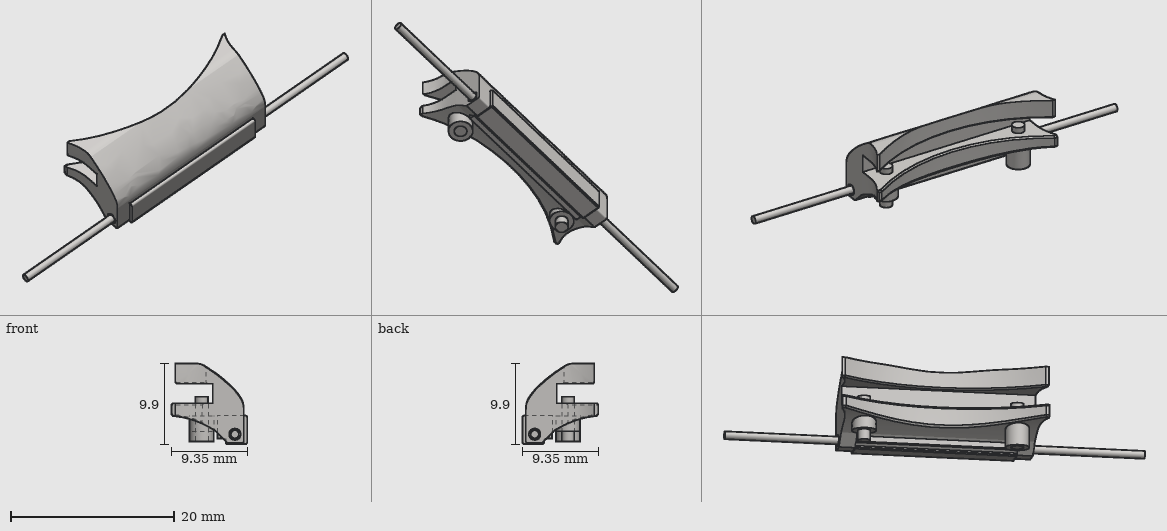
import cadquery as cq
import math

WIRE_LENGTH = 52.4
WIRE_DIAMETER = 1.0
WIRE_X = 7.8
WIRE_Z = 1.2
WIRE_MOUTH_DIAMETER = 1.4

HOUSING_LENGTH = 24.2
HOUSING_BOTTOM_Z = 0.15
HOUSING_TOP_Z = 9.9
BACK_X = 8.9
WEB_FRONT_X = 5.1
SLOT_TOP_Z = 7.4
SLOT_BOTTOM_Z = 5.05
TOP_FLAT_END_X = 3.0
CROWN_END = (3.95, 9.7)
BACK_CURVE_POINTS = [(6.45, 7.9), (8.45, 5.8)]
BACK_CURVE_END = (BACK_X, 4.2)
BACK_CURVE_START_DIRECTION = (1, -0.6)
DOWNWARD = (0, -1)
JAW_TIP_BOTTOM_Z = 3.45
UNDERSIDE_MIDDLE = (3.15, 2.8)
UNDERSIDE_END = (5.4, 1.6)
BOTTOM_FRONT_X = 6.85
BOTTOM_BACK_RADIUS = 0.2

JAW_SPAN = 25.85
TIP_WIDTH = 0.4
LOWER_TIP_X = 0.0
UPPER_TIP_X = 0.45
JAW_HOLLOW_DEPTH = 3.75
JAW_CHAMFER = 0.2
FLARE_MIDDLE_X = 2.1
FLARE_MIDDLE_RISE = 0.15
FLARE_TIP_DIRECTION = (-1, 0.6)
FORWARD = (-1, 0)
EDGE_MARGIN = 0.005

INSERT_LENGTH = 20.2
INSERT_FRONT_X = 5.65
INSERT_BACK_X = 9.35
INSERT_TOP_Z = 3.5
INSERT_LIP_Z = 0.7
INSERT_FLOOR_FRONT_X = 6.65
INSERT_TOP_RADIUS = 0.25
INSERT_BOTTOM_CHAMFER = 0.15

PIN_X = 3.7
PIN_SPACING = 19.1
PIN_DIAMETER = 1.55
PIN_TOP_Z = 5.8
PIN_BOTTOM_Z = 0.3
SLEEVE_DIAMETER = 3.0
SLEEVE_TOP_Z = JAW_TIP_BOTTOM_Z
LONG_SLEEVE_BOTTOM_Z = PIN_BOTTOM_Z
SHORT_SLEEVE_BOTTOM_Z = 1.55

PIN_STATIONS = [
    (-PIN_SPACING / 2, LONG_SLEEVE_BOTTOM_Z),
    (PIN_SPACING / 2, SHORT_SLEEVE_BOTTOM_Z),
]


def side_sketch(length):
    """Side plane placed so that extruding by the length centres the result on the mid plane."""
    return cq.Workplane("XZ", origin=(0, length / 2, 0))


def post(diameter, y, bottom_z, top_z):
    """Upright cylinder on a pin axis."""
    return (
        cq.Workplane("XY", origin=(PIN_X, y, bottom_z))
        .circle(diameter / 2)
        .extrude(top_z - bottom_z)
    )


def make_wire():
    return side_sketch(WIRE_LENGTH).center(WIRE_X, WIRE_Z).circle(WIRE_DIAMETER / 2).extrude(WIRE_LENGTH)


def make_pin(y):
    return post(PIN_DIAMETER, y, PIN_BOTTOM_Z, PIN_TOP_Z)


def sleeve_blank(y, bottom_z):
    return post(SLEEVE_DIAMETER, y, bottom_z, SLEEVE_TOP_Z)


def make_sleeve(y, bottom_z):
    """Tube that stands in a recess of the lower jaw and surrounds a pin."""
    return sleeve_blank(y, bottom_z).cut(make_pin(y))


def insert_blank():
    """Block with a raised front lip and a bevelled floor, before the wire hole."""
    return (
        side_sketch(INSERT_LENGTH)
        .moveTo(INSERT_FRONT_X, INSERT_TOP_Z)
        .lineTo(INSERT_BACK_X - INSERT_TOP_RADIUS, INSERT_TOP_Z)
        .tangentArcPoint((INSERT_BACK_X, INSERT_TOP_Z - INSERT_TOP_RADIUS), relative=False)
        .lineTo(INSERT_BACK_X, INSERT_BOTTOM_CHAMFER)
        .lineTo(INSERT_BACK_X - INSERT_BOTTOM_CHAMFER, 0)
        .lineTo(INSERT_FLOOR_FRONT_X + INSERT_BOTTOM_CHAMFER, 0)
        .lineTo(INSERT_FLOOR_FRONT_X, INSERT_BOTTOM_CHAMFER)
        .lineTo(INSERT_FLOOR_FRONT_X, INSERT_LIP_Z)
        .lineTo(INSERT_FRONT_X, INSERT_LIP_Z)
        .close()
        .extrude(INSERT_LENGTH)
    )


def make_insert():
    return insert_blank().cut(make_wire())


def housing_side_blank():
    """C-shaped side outline, as long as the jaws are wide at their tips."""
    return (
        side_sketch(JAW_SPAN)
        .moveTo(LOWER_TIP_X, HOUSING_TOP_Z)
        .lineTo(TOP_FLAT_END_X, HOUSING_TOP_Z)
        .tangentArcPoint(CROWN_END, relative=False)
        .spline(
            [*BACK_CURVE_POINTS, BACK_CURVE_END],
            tangents=[BACK_CURVE_START_DIRECTION, DOWNWARD],
            includeCurrent=True,
        )
        .lineTo(BACK_X, HOUSING_BOTTOM_Z + BOTTOM_BACK_RADIUS)
        .tangentArcPoint((BACK_X - BOTTOM_BACK_RADIUS, HOUSING_BOTTOM_Z), relative=False)
        .lineTo(BOTTOM_FRONT_X, HOUSING_BOTTOM_Z)
        .lineTo(*UNDERSIDE_END)
        .threePointArc(UNDERSIDE_MIDDLE, (LOWER_TIP_X, JAW_TIP_BOTTOM_Z))
        .lineTo(LOWER_TIP_X, SLOT_BOTTOM_Z)
        .lineTo(WEB_FRONT_X, SLOT_BOTTOM_Z)
        .lineTo(WEB_FRONT_X, SLOT_TOP_Z)
        .lineTo(LOWER_TIP_X, SLOT_TOP_Z)
        .close()
        .extrude(JAW_SPAN)
    )


def hollow_middle(tip_x):
    """Point halfway along one half of the hollow arc, which is symmetric about the mid plane."""
    half_chord = JAW_SPAN / 2 - TIP_WIDTH
    radius = (half_chord**2 + JAW_HOLLOW_DEPTH**2) / (2 * JAW_HOLLOW_DEPTH)
    angle = math.asin(half_chord / radius) / 2
    return (tip_x + JAW_HOLLOW_DEPTH - radius * (1 - math.cos(angle)), radius * math.sin(angle))


def jaw_plan(tip_x, bottom_z, top_z):
    """Plan prism of one jaw: hollow front, and sides that flare smoothly out of the web."""
    tip_y = JAW_SPAN / 2
    side_y = HOUSING_LENGTH / 2
    outline = (
        cq.Workplane("XY", origin=(0, 0, bottom_z))
        .moveTo(BACK_X, 0)
        .lineTo(BACK_X, side_y)
        .lineTo(WEB_FRONT_X, side_y)
        .spline(
            [(FLARE_MIDDLE_X, side_y + FLARE_MIDDLE_RISE), (UPPER_TIP_X, tip_y)],
            tangents=[FORWARD, FLARE_TIP_DIRECTION],
            includeCurrent=True,
        )
    )
    if tip_x < UPPER_TIP_X:
        outline = outline.lineTo(tip_x, tip_y)
    half = (
        outline.lineTo(tip_x, tip_y - TIP_WIDTH)
        .threePointArc(hollow_middle(tip_x), (tip_x + JAW_HOLLOW_DEPTH, 0))
        .close()
        .extrude(top_z - bottom_z)
    )
    return half.union(half.mirror("XZ"))


def chamfer_jaw_front(body, tip_x, bottom_z, top_z):
    """Bevel the tip and hollow-front edges of a jaw that run across Y between two heights."""
    front_end_x = tip_x + JAW_HOLLOW_DEPTH
    zone = cq.selectors.BoxSelector(
        (tip_x - EDGE_MARGIN, -JAW_SPAN, bottom_z - EDGE_MARGIN),
        (front_end_x + EDGE_MARGIN, JAW_SPAN, top_z + EDGE_MARGIN),
        boundingbox=True,
    )
    edges_across = body.edges(zone).filter(lambda edge: edge.BoundingBox().ylen > EDGE_MARGIN)
    return edges_across.chamfer(JAW_CHAMFER)


def bore_wire_hole(body):
    """Hole for the wire through the whole length, with a countersunk mouth at each end."""
    side_y = HOUSING_LENGTH / 2
    mouth_depth = (WIRE_MOUTH_DIAMETER - WIRE_DIAMETER) / 2
    body = body.cut(make_wire())
    for direction in (-1, 1):
        mouth = cq.Solid.makeCone(
            WIRE_MOUTH_DIAMETER / 2,
            WIRE_DIAMETER / 2,
            mouth_depth,
            pnt=cq.Vector(WIRE_X, direction * side_y, WIRE_Z),
            dir=cq.Vector(0, -direction, 0),
        )
        body = body.cut(cq.Workplane(mouth))
    return body


def make_housing():
    """Web with two hollow jaws, pocketed for the insert and bored for the wire, sleeves and pins."""
    slot_middle_z = (SLOT_BOTTOM_Z + SLOT_TOP_Z) / 2
    lower_plan = jaw_plan(LOWER_TIP_X, 0, slot_middle_z)
    upper_plan = jaw_plan(UPPER_TIP_X, slot_middle_z, HOUSING_TOP_Z)
    body = housing_side_blank().intersect(lower_plan.union(upper_plan))
    body = chamfer_jaw_front(body, UPPER_TIP_X, SLOT_TOP_Z, SLOT_TOP_Z)
    body = chamfer_jaw_front(body, LOWER_TIP_X, SLOT_BOTTOM_Z, SLOT_BOTTOM_Z)
    body = chamfer_jaw_front(body, LOWER_TIP_X, UNDERSIDE_END[1], JAW_TIP_BOTTOM_Z)
    body = bore_wire_hole(body.cut(insert_blank()))
    for y, sleeve_bottom_z in PIN_STATIONS:
        body = body.cut(sleeve_blank(y, sleeve_bottom_z)).cut(make_pin(y))
    return body


housing = make_housing()
insert = make_insert()
wire = make_wire()
pins = [make_pin(y).val() for y, _ in PIN_STATIONS]
sleeves = [make_sleeve(y, bottom_z).val() for y, bottom_z in PIN_STATIONS]

result = cq.Compound.makeCompound([housing.val(), insert.val(), wire.val(), *pins, *sleeves])